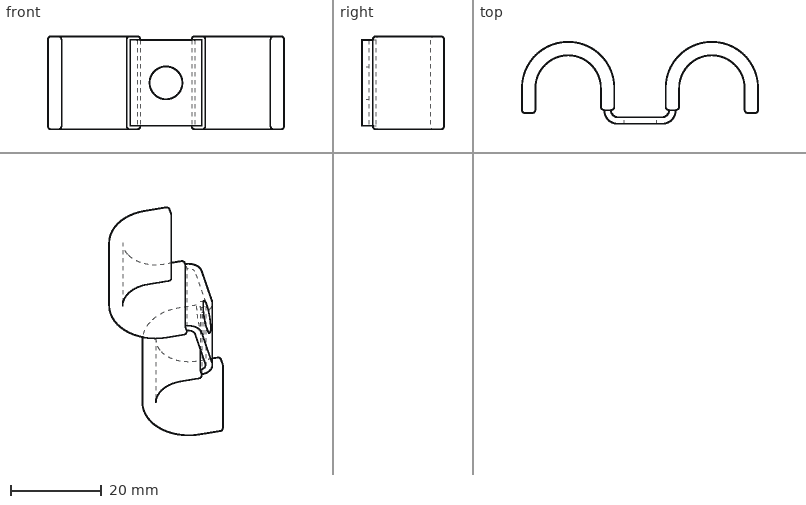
import cadquery as cq

length = 52.2
cushion_height = 20.55
strap_height = 19.0

outer_radius = 10.25
cushion_thickness = 3.05
inner_radius = outer_radius - cushion_thickness
clip_offset = length / 2 - outer_radius
outer_leg_length = 5.55
inner_leg_length = 4.85
edge_radius = 0.75

strap_thickness = 1.5
strap_depth = 7.95
strap_bend_radius = 3.05
strap_half_width = clip_offset - inner_radius - (cushion_thickness - strap_thickness) / 2
strap_overlap = 2.1
hole_diameter = 7.2


def make_clip(side):
    """Cushioned clip centred at side * clip_offset, with its arch axis along Z."""
    left_leg = outer_leg_length if side < 0 else inner_leg_length
    right_leg = inner_leg_length if side < 0 else outer_leg_length
    clip = (
        cq.Workplane("XY")
        .moveTo(-outer_radius, -left_leg)
        .lineTo(-outer_radius, 0)
        .threePointArc((0, outer_radius), (outer_radius, 0))
        .lineTo(outer_radius, -right_leg)
        .lineTo(inner_radius, -right_leg)
        .lineTo(inner_radius, 0)
        .threePointArc((0, inner_radius), (-inner_radius, 0))
        .lineTo(-inner_radius, -left_leg)
        .close()
        .extrude(cushion_height / 2, both=True)
    )
    below_arch = cq.selectors.BoxSelector(
        (-length, -length, -length), (length, -edge_radius, length)
    )
    tip_edges = clip.edges("|Z").edges(below_arch)
    end_edges = clip.faces("|Z").edges()
    clip = clip.newObject(tip_edges.vals() + end_edges.vals()).fillet(edge_radius)
    return clip.translate((side * clip_offset, 0, 0))


def make_channel(half_width, depth, bend_radius):
    """U-shaped block, rounded at its two floor corners and reaching into the clip legs."""
    top = strap_overlap - inner_leg_length
    return (
        cq.Workplane("XY")
        .center(0, (top - depth) / 2)
        .rect(2 * half_width, top + depth)
        .extrude(strap_height / 2, both=True)
        .faces("<Y")
        .edges("|Z")
        .fillet(bend_radius)
    )


def make_strap():
    """Bent strap with a round screw hole through its flat floor."""
    outside = make_channel(strap_half_width, strap_depth, strap_bend_radius)
    inside = make_channel(
        strap_half_width - strap_thickness,
        strap_depth - strap_thickness,
        strap_bend_radius - strap_thickness,
    )
    hole = cq.Workplane("XZ").circle(hole_diameter / 2).extrude(2 * strap_depth)
    return outside.cut(inside).cut(hole)


result = make_clip(-1).union(make_strap()).union(make_clip(1))